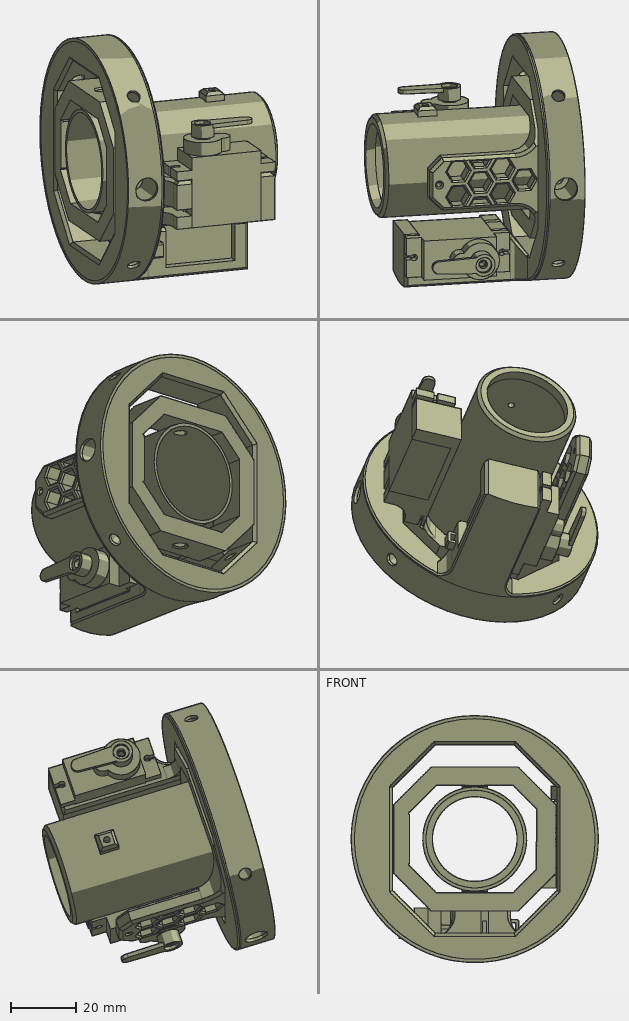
import cadquery as cq
import math


flange_diameter = 76
flange_depth = 12.0
wide_chamfer = 1.0
fine_chamfer = 0.495
pivot_diameter = 4.0
pivot_y = flange_depth / 2

sleeve_inner_diameter = 74.0
sleeve_depth = 11.0
window_half_width = 25.2
window_half_height = 28.95
window_corner = 13.15
pivot_socket_diameter = 7.2

ring_half_width = 24.9
ring_half_height = 22.2
ring_corner = 11.6
opening_right = 19
opening_left = 20.4
opening_half_height = 16.5
opening_half_top = 11.8

tube_length = 58.0
tube_diameter = 32.0
tube_bore = 30.0
tube_lip_bore = 26.0
tube_lip_depth = 3.05
boss_diameter = 8.0
boss_top = 16.4
boss_chamfer = 0.3
lug_side = 6.0
lug_y = 42.0
lug_top = 18.6
lug_hole_diameter = 2.0

arm_thickness = 4.95
arm_half_width = 8.35
arm_end_y = 46.0
arm_tip_chamfer = 3.95
arm_flare_radius = 7.0
arm_hole_y = 43.0
arm_hole_diameter = 1.5
comb_pitch = 8.0
comb_hexagon_flats = 6.0
comb_first_y = 37.0
comb_half_width = 6.85

servo_width = 12.55
servo_body_start = 22.7
servo_body_end = 45.5
servo_tab_start = 17.8
servo_tab_end = 50.15
servo_depth = 26.6
servo_boss_height = 4.25
servo_boss_radius = 5.89
servo_bump_radius = 2.9
servo_bump_y = 34.6
servo_tab_top = 8.3
servo_tab_bottom = 11.2
tab_hole_ys = (20.15, 47.8)
tab_hole_diameter = 2.0
tab_slot_width = 1.2
cable_width = 1.3
cable_height = 3.7
cable_length = 1.15
cable_depth = 21.65

spindle_y = 28.65
spindle_diameter = 4.95
spindle_hole_diameter = 2.0
spindle_seat = 1.5
horn_gap = 0.6
horn_height = 4.1
horn_hub_diameter = 7.0
horn_tip_radius = 2.0
horn_tip_y = 42.7
horn_lever_thickness = 1.3
horn_screw_diameter = 2.6
horn_recess_depth = 1.1
horn_socket_depth = 1.5

roll_servo_x = 27.0
roll_servo_z = 11.55
pitch_servo_x = -18.6
pitch_servo_z = -27.05
bracket_end_y = 50.0
bracket_gap = 0.45
pilot_depth = 6.1
cable_slot_width = 2.3

roll_bracket_inner_x = 18.8
roll_bracket_arc_radius = 5.25
roll_flare_radius = 4.0

pitch_bracket_depth = 18.0
pitch_flare_radius = 5.3
pitch_flare_angle = 64
gusset_top_y = 17.85
gusset_root_z = -28.3
pocket_chamfer = 1.1

clip_width = 2.6
clip_height = 4.7
clip_wall = 1.1
clip_length = 3.05
clip_y = 19.4


def prism_along_y(points, y_start, y_end):
    """Extrude an outline of (x, z) points from y_start to y_end."""
    outline = cq.Workplane("XZ", origin=(0, y_start, 0)).polyline(points).close()
    return outline.extrude(y_start - y_end)


def block(x_range, y_range, z_range):
    """A box given by its limits along each axis."""
    spans = (x_range, y_range, z_range)
    sizes = [high - low for low, high in spans]
    return cq.Workplane("XY").box(*sizes, centered=False).translate(tuple(low for low, high in spans))


def octagon(half_width, half_height, corner):
    """Rectangle outline in (x, z) with its four corners cut off at 45 degrees."""
    side_z = half_height - corner
    top_x = half_width - corner
    return [
        (half_width, -side_z), (half_width, side_z), (top_x, half_height), (-top_x, half_height),
        (-half_width, side_z), (-half_width, -side_z), (-top_x, -half_height), (top_x, -half_height),
    ]


def round_bar(diameter, start, direction, length):
    """A cylinder from a start point along a direction."""
    return cq.Workplane(cq.Solid.makeCylinder(diameter / 2, length, cq.Vector(*start), cq.Vector(*direction)))


def level_plane(z):
    """Plane at height z, with X and Y as its axes and +Z as its normal."""
    return cq.Plane(origin=(0, 0, z), xDir=(1, 0, 0), normal=(0, 0, 1))


def side_plane(x):
    """Plane at the given x, with Z and Y as its axes and -X as its normal."""
    return cq.Plane(origin=(x, 0, 0), xDir=(0, 0, 1), normal=(-1, 0, 0))


def prism_along_x(points, x_start, x_end):
    """Extrude an outline of (z, y) points from x_start to x_end."""
    return cq.Workplane(side_plane(x_start)).polyline(points).close().extrude(x_start - x_end)


def arc_middle(radius):
    """Distance from the corner's two sides to the middle of a concave quarter arc of this radius."""
    return radius * (1 - math.sqrt(0.5))


def flare(plane, corner, across, radius, length):
    """Concave fillet strip in a corner, extruded from the plane by a length along its normal.

    It rises in Y and spreads to one side along the plane's first axis (across = +1 or -1).
    """
    a, b = corner
    middle = arc_middle(radius)
    return (
        cq.Workplane(plane)
        .moveTo(a, b)
        .lineTo(a + across * radius, b)
        .threePointArc((a + across * middle, b + middle), (a, b + radius))
        .close()
        .extrude(length)
    )


def place_roll(shape):
    """Move a servo part from its own frame to the roll servo, whose spindle points to +Z."""
    return shape.translate((roll_servo_x, 0, roll_servo_z))


def place_pitch(shape):
    """Move a servo part from its own frame to the pitch servo, whose spindle points to -X."""
    return shape.rotate((0, 0, 0), (0, 1, 0), -90).translate((pitch_servo_x, 0, pitch_servo_z))


def make_spindle():
    length = spindle_seat + horn_gap + horn_socket_depth
    spindle = round_bar(spindle_diameter, (0, spindle_y, -spindle_seat), (0, 0, 1), length)
    return spindle.cut(round_bar(spindle_hole_diameter, (0, spindle_y, -spindle_seat), (0, 0, 1), length))


def make_servo():
    half = servo_width / 2
    body = block((-half, half), (servo_body_start, servo_body_end), (-servo_depth, -servo_boss_height))
    tabs = block((-half, half), (servo_tab_start, servo_tab_end), (-servo_tab_bottom, -servo_tab_top))
    boss = round_bar(2 * servo_boss_radius, (0, spindle_y, -servo_boss_height), (0, 0, 1), servo_boss_height)
    bump = round_bar(2 * servo_bump_radius, (0, servo_bump_y, -servo_boss_height), (0, 0, 1), servo_boss_height)
    bridge = block(
        (-servo_bump_radius, servo_bump_radius), (spindle_y, servo_bump_y), (-servo_boss_height, 0)
    )
    cable = block(
        (-cable_height / 2, cable_height / 2),
        (servo_body_start - cable_length, servo_body_start),
        (-cable_depth - cable_width / 2, -cable_depth + cable_width / 2),
    )
    servo = body.union(tabs).union(boss).union(bump).union(bridge).union(cable)
    for hole_y, edge_y in zip(tab_hole_ys, (servo_tab_start, servo_tab_end)):
        hole = round_bar(tab_hole_diameter, (0, hole_y, -servo_tab_bottom), (0, 0, 1), servo_tab_bottom)
        slot = block(
            (-tab_slot_width / 2, tab_slot_width / 2), sorted((hole_y, edge_y)), (-servo_tab_bottom, 0)
        )
        servo = servo.cut(hole).cut(slot)
    return servo.cut(round_bar(spindle_diameter, (0, spindle_y, -spindle_seat), (0, 0, 1), spindle_seat))


def make_horn():
    top = horn_gap + horn_height
    hub = round_bar(horn_hub_diameter, (0, spindle_y, horn_gap), (0, 0, 1), horn_height)
    lever_root = 0.75 * horn_hub_diameter / 2
    lever = (
        cq.Workplane("XY", origin=(0, 0, top - horn_lever_thickness))
        .moveTo(-lever_root, spindle_y)
        .lineTo(-horn_tip_radius, horn_tip_y)
        .threePointArc((0, horn_tip_y + horn_tip_radius), (horn_tip_radius, horn_tip_y))
        .lineTo(lever_root, spindle_y)
        .close()
        .extrude(horn_lever_thickness)
    )
    recess = round_bar(spindle_diameter, (0, spindle_y, top - horn_recess_depth), (0, 0, 1), horn_recess_depth)
    socket = round_bar(spindle_diameter, (0, spindle_y, horn_gap), (0, 0, 1), horn_socket_depth)
    screw_hole = round_bar(horn_screw_diameter, (0, spindle_y, horn_gap), (0, 0, 1), horn_height)
    return hub.union(lever).cut(recess).cut(socket).cut(screw_hole)


def servo_pocket(mouth_chamfer):
    """Space for the servo body, its cable and its screws, open on the +X side of the servo's own frame."""
    half = servo_width / 2
    length = servo_body_end - servo_body_start
    middle_y = (servo_body_start + servo_body_end) / 2
    pocket = block((-half, servo_width), (servo_body_start, servo_body_end), (-2 * servo_depth, 0))
    if mouth_chamfer:
        mouth = (
            cq.Workplane("XY", origin=(0, middle_y, -servo_tab_bottom - bracket_gap))
            .rect(servo_width + 2 * mouth_chamfer, length + 2 * mouth_chamfer)
            .extrude(-mouth_chamfer, taper=45)
        )
        pocket = pocket.union(mouth)
    cable_slot = block(
        (-half, servo_width),
        (0, servo_body_start),
        (-cable_depth - cable_slot_width / 2, -cable_depth + cable_slot_width / 2),
    )
    cutter = pocket.union(cable_slot)
    for hole_y in tab_hole_ys:
        bottom = -servo_tab_bottom - pilot_depth
        cutter = cutter.union(round_bar(tab_hole_diameter, (0, hole_y, bottom), (0, 0, 1), pilot_depth))
    return cutter


def locking_holes():
    """Four radial holes between the pivot axes."""
    holes = cq.Workplane("XY")
    for angle in (45, 135, 225, 315):
        direction = (math.cos(math.radians(angle)), 0, math.sin(math.radians(angle)))
        holes = holes.add(round_bar(pivot_diameter, (0, pivot_y, 0), direction, flange_diameter))
    return holes.combine()


def pivot_sockets():
    return round_bar(pivot_socket_diameter, (-flange_diameter, pivot_y, 0), (1, 0, 0), 2 * flange_diameter)


def make_pitch_bracket():
    face_x = pitch_servo_x + servo_tab_bottom + bracket_gap
    back_x = face_x + pitch_bracket_depth
    top_z = pitch_servo_z + servo_width / 2
    floor_z = -flange_diameter / 2
    slope = (top_z - gusset_root_z) / (gusset_top_y - flange_depth)
    buried_z = gusset_root_z - slope * (flange_depth - sleeve_depth)
    gusset = [
        (floor_z, sleeve_depth), (buried_z, sleeve_depth),
        (top_z, gusset_top_y), (top_z, bracket_end_y), (floor_z, bracket_end_y),
    ]
    turn = math.radians(pitch_flare_angle)
    spread = pitch_flare_radius * (1 - math.cos(turn))
    arc_top_y = flange_depth + pitch_flare_radius * math.sin(turn)
    middle_spread = pitch_flare_radius * (1 - math.cos(turn / 2))
    middle_y = arc_top_y - pitch_flare_radius * math.sin(turn / 2)
    plan = (
        cq.Workplane(level_plane(floor_z))
        .moveTo(face_x - spread, sleeve_depth)
        .lineTo(face_x - spread, flange_depth)
        .threePointArc((face_x - middle_spread, middle_y), (face_x, arc_top_y))
        .lineTo(face_x, bracket_end_y)
        .lineTo(back_x, bracket_end_y)
        .lineTo(back_x, arc_top_y)
        .threePointArc((back_x + middle_spread, middle_y), (back_x + spread, flange_depth))
        .lineTo(back_x + spread, sleeve_depth)
        .close()
        .extrude(top_z - floor_z)
    )
    side = prism_along_x(gusset, face_x - spread, back_x + spread)
    rounding = round_bar(flange_diameter, (0, 0, 0), (0, 1, 0), tube_length)
    bracket = plan.intersect(side)
    end_edges = bracket.faces(">Y").edges("|Z")
    top_edges = bracket.edges("not (|X or |Z or <Z or <Y)")
    bracket = top_edges.add(end_edges).chamfer(wide_chamfer).intersect(rounding)
    bracket = bracket.edges(cq.selectors.BoxSelector(
        (face_x - fine_chamfer, arc_top_y, floor_z),
        (back_x + fine_chamfer, bracket_end_y, floor_z + 2 * wide_chamfer),
    )).edges("|Y").chamfer(fine_chamfer)
    return bracket.cut(place_pitch(servo_pocket(pocket_chamfer))).union(make_cable_clip(back_x))


def make_cable_clip(back_x):
    """Rectangular loop on the back of the pitch bracket."""
    y_range = (clip_y - clip_length / 2, clip_y + clip_length / 2)
    half = clip_height / 2
    inner_half = half - clip_wall
    outer_x = back_x + clip_width
    loop = block((back_x, outer_x), y_range, (pitch_servo_z - half, pitch_servo_z + half))
    loop = loop.faces(">X").edges("|Y").chamfer(fine_chamfer)
    opening_z = (pitch_servo_z - inner_half, pitch_servo_z + inner_half)
    return loop.cut(block((back_x, outer_x - clip_wall), y_range, opening_z))


def make_flange():
    outer = round_bar(flange_diameter, (0, 0, 0), (0, 1, 0), flange_depth)
    outer = outer.faces(">Y").edges().chamfer(fine_chamfer)
    sleeve_seat = round_bar(2 * flange_diameter, (0, 0, 0), (0, 1, 0), sleeve_depth).cut(
        round_bar(sleeve_inner_diameter, (0, 0, 0), (0, 1, 0), sleeve_depth)
    )
    window_outline = octagon(window_half_width, window_half_height, window_corner)
    window = prism_along_y(window_outline, 0, flange_depth)
    flange = outer.cut(sleeve_seat).cut(window)
    window_edges = flange.faces("<Y").edges("not %CIRCLE")
    flange = window_edges.chamfer(wide_chamfer)
    return flange.cut(locking_holes()).cut(pivot_sockets()).union(make_pitch_bracket())


def make_sleeve():
    outer = round_bar(flange_diameter, (0, 0, 0), (0, 1, 0), sleeve_depth)
    bore = round_bar(sleeve_inner_diameter, (0, 0, 0), (0, 1, 0), sleeve_depth)
    return outer.cut(bore).cut(locking_holes()).cut(pivot_sockets())


def ring_opening(y_end):
    side_left = opening_half_height - (opening_left - opening_half_top)
    side_right = opening_half_height - (opening_right - opening_half_top)
    half = [
        (opening_right, side_right), (opening_half_top, opening_half_height),
        (-opening_half_top, opening_half_height), (-opening_left, side_left),
    ]
    mirrored = [(x, -z) for x, z in reversed(half)]
    return prism_along_y(half + mirrored, 0, y_end)


def ring_envelope(y_end):
    return prism_along_y(octagon(ring_half_width, ring_half_height, ring_corner), 0, y_end)


def comb_cell(y, z, apothem, limit):
    """Outline of one hexagonal cell as (z, y) points; a cell centred beyond the limit is cut flat there."""
    corner = apothem * 2 / math.sqrt(3)
    if abs(z) < limit:
        offsets = [(corner * math.cos(k * math.pi / 3), corner * math.sin(k * math.pi / 3)) for k in range(6)]
        return [(z + across, y + along) for along, across in offsets]
    side = math.copysign(1, z)
    cut_half = corner - (abs(z) - limit) / math.sqrt(3)
    base_z = z - side * apothem
    return [
        (side * limit, y - cut_half), (side * limit, y + cut_half),
        (base_z, y + corner / 2), (base_z, y - corner / 2),
    ]


def make_comb():
    """Hexagonal holes in staggered columns, chamfered on the outer face of the arm."""
    column_step = comb_pitch * math.sqrt(3) / 2
    column_rows = [(-0.5, 0.5), (-1, 0, 1), (-0.5, 0.5), (0,)]
    apothem = comb_hexagon_flats / 2
    face = cq.Workplane(side_plane(-ring_half_width))
    comb = cq.Workplane("XY")
    for column, rows in enumerate(column_rows):
        for row in rows:
            y = comb_first_y - column * column_step
            z = row * comb_pitch
            hole = comb_cell(y, z, apothem, comb_half_width)
            rim = comb_cell(y, z, apothem + fine_chamfer, comb_half_width + fine_chamfer)
            comb = comb.add(face.polyline(hole).close().extrude(-2 * arm_thickness))
            comb = comb.add(face.polyline(rim).close().extrude(-fine_chamfer, taper=45))
    return comb.combine()


def make_arm():
    inner_x = -ring_half_width + arm_thickness
    tip_half = arm_half_width - arm_tip_chamfer
    shoulder_y = arm_end_y - arm_tip_chamfer
    outline = [
        (-arm_half_width, 0), (arm_half_width, 0), (arm_half_width, shoulder_y),
        (tip_half, arm_end_y), (-tip_half, arm_end_y), (-arm_half_width, shoulder_y),
    ]
    arm = prism_along_x(outline, -ring_half_width, inner_x)
    arm = arm.faces("<X or >X").edges("not <Y").chamfer(wide_chamfer)
    radius = arm_flare_radius
    middle = arc_middle(radius)
    spread = arm_half_width + radius
    root = (
        cq.Workplane(side_plane(-ring_half_width))
        .moveTo(-spread, pivot_y)
        .lineTo(spread, pivot_y)
        .lineTo(spread, flange_depth)
        .threePointArc(
            (arm_half_width + middle, flange_depth + middle), (arm_half_width, flange_depth + radius)
        )
        .lineTo(arm_half_width, flange_depth + 2 * radius)
        .lineTo(-arm_half_width, flange_depth + 2 * radius)
        .lineTo(-arm_half_width, flange_depth + radius)
        .threePointArc((-arm_half_width - middle, flange_depth + middle), (-spread, flange_depth))
        .close()
        .extrude(-ring_half_width)
    )
    root = root.faces("<X").edges().chamfer(wide_chamfer)
    root = root.intersect(ring_envelope(flange_depth + radius)).cut(ring_opening(tube_length))
    arm = arm.union(root)
    hole = round_bar(arm_hole_diameter, (-ring_half_width, arm_hole_y, 0), (1, 0, 0), arm_thickness)
    hole_rim = (
        cq.Workplane(side_plane(-ring_half_width))
        .center(0, arm_hole_y)
        .circle(arm_hole_diameter / 2 + fine_chamfer)
        .extrude(-fine_chamfer, taper=45)
    )
    return arm.cut(hole).cut(hole_rim).cut(make_comb())


def make_roll_bracket():
    top_z = roll_servo_z - servo_tab_bottom - bracket_gap
    bottom_z = roll_servo_z - servo_depth
    outer_x = roll_servo_x + servo_width / 2
    radius = roll_bracket_arc_radius
    middle = arc_middle(radius)
    root_y = flange_depth / 2
    bracket = (
        cq.Workplane("XY", origin=(0, 0, bottom_z))
        .moveTo(roll_bracket_inner_x, root_y)
        .lineTo(ring_half_width, root_y)
        .lineTo(ring_half_width, servo_tab_start - radius)
        .threePointArc(
            (ring_half_width + middle, servo_tab_start - middle),
            (ring_half_width + radius, servo_tab_start),
        )
        .lineTo(outer_x, servo_tab_start)
        .lineTo(outer_x, bracket_end_y)
        .lineTo(roll_bracket_inner_x, bracket_end_y)
        .close()
        .extrude(top_z - bottom_z)
    )
    bracket = bracket.faces(">Z").edges().chamfer(wide_chamfer)
    envelope = ring_envelope(tube_length).cut(ring_opening(tube_length))
    front = block((0, outer_x), (0, flange_depth), (bottom_z, top_z))
    bracket = bracket.cut(front.cut(envelope))
    flare_end_x = ring_half_width - wide_chamfer
    flare_length = flare_end_x - roll_bracket_inner_x - wide_chamfer
    height = top_z - bottom_z
    radius = roll_flare_radius
    top_corner = (top_z, flange_depth)
    bottom_corner = (bottom_z, flange_depth)
    inner_corner = (roll_bracket_inner_x, flange_depth)
    long_inner = flare(level_plane(bottom_z - radius), inner_corner, -1, radius, height + radius)
    long_bottom = flare(side_plane(flare_end_x), bottom_corner, -1, radius, flare_end_x)
    strips = [
        flare(side_plane(flare_end_x), top_corner, 1, radius, flare_length),
        flare(side_plane(flare_end_x), bottom_corner, -1, radius, flare_length),
        flare(level_plane(bottom_z), inner_corner, -1, radius, height),
        long_inner.intersect(long_bottom),
    ]
    for strip in strips:
        bracket = bracket.union(strip.intersect(envelope))
    return bracket.cut(place_roll(servo_pocket(0)))


def make_gimbal_ring():
    ring = ring_envelope(flange_depth).cut(ring_opening(flange_depth))
    ring = ring.union(make_arm()).union(make_roll_bracket())
    pivot_z = round_bar(pivot_diameter, (0, pivot_y, -ring_half_height), (0, 0, 1), 2 * ring_half_height)
    pivot_x = round_bar(pivot_diameter, (-ring_half_width, pivot_y, 0), (1, 0, 0), 2 * ring_half_width)
    ring = ring.cut(pivot_z).cut(pivot_x)
    for side in (-1, 1):
        rim = cq.Solid.makeCone(
            pivot_diameter / 2 + fine_chamfer, pivot_diameter / 2, fine_chamfer,
            cq.Vector(0, pivot_y, side * ring_half_height), cq.Vector(0, 0, -side),
        )
        ring = ring.cut(cq.Workplane(rim))
    return ring


def make_lug():
    half = lug_side / 2
    lug = block((-half, half), (lug_y - half, lug_y + half), (tube_bore / 2, lug_top))
    return lug.faces(">Z").edges().chamfer(wide_chamfer)


def make_tube():
    tube = round_bar(tube_diameter, (0, 0, 0), (0, 1, 0), tube_length)
    tube = tube.faces(">Y").edges().chamfer(wide_chamfer)
    for side in (-1, 1):
        boss = round_bar(boss_diameter, (0, pivot_y, 0), (0, 0, side), boss_top)
        end_face = boss.faces(">Z" if side > 0 else "<Z")
        tube = tube.union(end_face.edges().chamfer(boss_chamfer))
    tube = tube.union(make_lug())
    tube = tube.cut(round_bar(tube_bore, (0, 0, 0), (0, 1, 0), tube_length - tube_lip_depth))
    tube = tube.cut(round_bar(tube_lip_bore, (0, 0, 0), (0, 1, 0), tube_length))
    tube = tube.cut(round_bar(pivot_diameter, (0, pivot_y, -boss_top), (0, 0, 1), 2 * boss_top))
    return tube.cut(round_bar(lug_hole_diameter, (0, lug_y, 0), (0, 0, 1), lug_top))


flange = make_flange()
sleeve = make_sleeve()
gimbal_ring = make_gimbal_ring()
tube = make_tube()

servo_bodies = []
for place in (place_roll, place_pitch):
    for make_part in (make_servo, make_spindle, make_horn):
        servo_bodies.append(place(make_part()).val())

result = cq.Compound.makeCompound([
    flange.val(), sleeve.val(), gimbal_ring.val(), tube.val(), *servo_bodies,
])